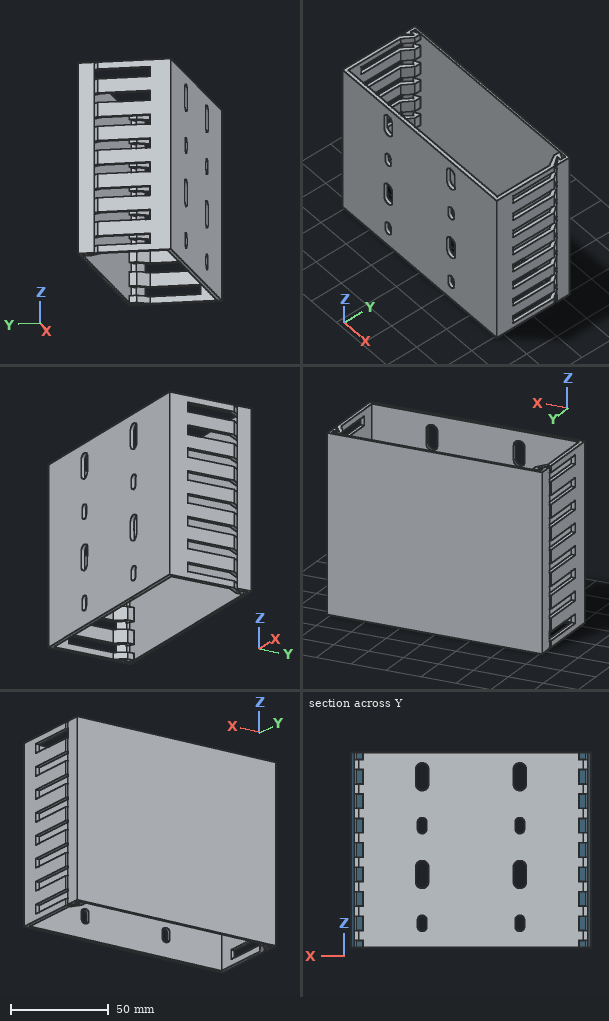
import cadquery as cq

WIDTH = 123.0
DEPTH = 48.7
LENGTH = 100.0

HALF_WIDTH = WIDTH / 2
FRONT = -DEPTH / 2
BACK = DEPTH / 2

DUCT_WALL = 2.2
COVER_BACK_WALL = 1.5
COVER_SIDE_WALL = 1.8

SLOT_COUNT = 8
SLOT_PITCH = LENGTH / SLOT_COUNT
SLOT_HEIGHT = 5.0
SLOT_FLOOR = FRONT + 11.0

FINGER_BEND_DROP = 10.5
FINGER_INNER_BEND_DROP = 11.6
HOOK_INNER_INSET = 6.3
HOOK_INNER_DROP = 5.4
HOOK_ROOT_INSET = 4.4
HOOK_FLAT_INSET = 5.7
HOOK_TIP_DROP = 3.6
LATCH_DROP = 4.7
COVER_LIP_DROP = 8.6
LATCH_INSET = 4.0

HOLE_X = 2 * SLOT_PITCH
WIDE_HOLE_SIZE = (6.4, 14.0)
NARROW_HOLE_SIZE = (4.5, 8.0)
WIDE_HOLE_ROWS = (3 * SLOT_PITCH, -SLOT_PITCH)
NARROW_HOLE_ROWS = (SLOT_PITCH, -3 * SLOT_PITCH)


def left_point(inset, drop):
    """Point on the left half of a cross section."""
    return (-HALF_WIDTH + inset, BACK - drop)


def extrude_symmetric(left_half):
    """Extrude an outline made of the left points and their mirror images."""
    right_half = [(-x, y) for x, y in reversed(left_half)]
    section = cq.Workplane("XY").workplane(offset=-LENGTH / 2)
    return section.polyline(left_half + right_half).close().extrude(LENGTH)


def finger_slots():
    """Slots through both duct sides, open at the hooked ends of the fingers."""
    centres = [(0, (i - (SLOT_COUNT - 1) / 2) * SLOT_PITCH) for i in range(SLOT_COUNT)]
    plane = cq.Workplane("XZ", origin=(0, SLOT_FLOOR, 0))
    return plane.pushPoints(centres).rect(WIDTH, SLOT_HEIGHT).extrude(SLOT_FLOOR - BACK)


def mounting_holes(size, rows):
    """Round-ended holes through the front wall, two in each row."""
    width, height = size
    centres = [(x, z) for x in (-HOLE_X, HOLE_X) for z in rows]
    plane = cq.Workplane("XZ", origin=(0, FRONT, 0))
    return plane.pushPoints(centres).slot2D(height, width, 90).extrude(-DUCT_WALL)


def make_duct():
    """U-shaped duct whose slotted sides end in hooked fingers."""
    body = extrude_symmetric([
        (-HALF_WIDTH + DUCT_WALL, FRONT + DUCT_WALL),
        left_point(DUCT_WALL, FINGER_INNER_BEND_DROP),
        left_point(HOOK_INNER_INSET, HOOK_INNER_DROP),
        left_point(HOOK_INNER_INSET, COVER_BACK_WALL),
        left_point(HOOK_FLAT_INSET, COVER_BACK_WALL),
        left_point(COVER_SIDE_WALL, HOOK_TIP_DROP),
        left_point(COVER_SIDE_WALL, LATCH_DROP),
        left_point(HOOK_ROOT_INSET, LATCH_DROP),
        left_point(0, FINGER_BEND_DROP),
        (-HALF_WIDTH, FRONT),
    ])
    body = body.cut(finger_slots())
    body = body.cut(mounting_holes(WIDE_HOLE_SIZE, WIDE_HOLE_ROWS))
    return body.cut(mounting_holes(NARROW_HOLE_SIZE, NARROW_HOLE_ROWS))


def make_cover():
    """Flat cover with side lips that latch behind the finger hooks."""
    return extrude_symmetric([
        left_point(0, 0),
        left_point(0, COVER_LIP_DROP),
        left_point(LATCH_INSET, LATCH_DROP),
        left_point(COVER_SIDE_WALL, LATCH_DROP),
        left_point(COVER_SIDE_WALL, COVER_BACK_WALL),
    ])


duct = make_duct()
cover = make_cover()

result = cq.Compound.makeCompound([duct.val(), cover.val()])